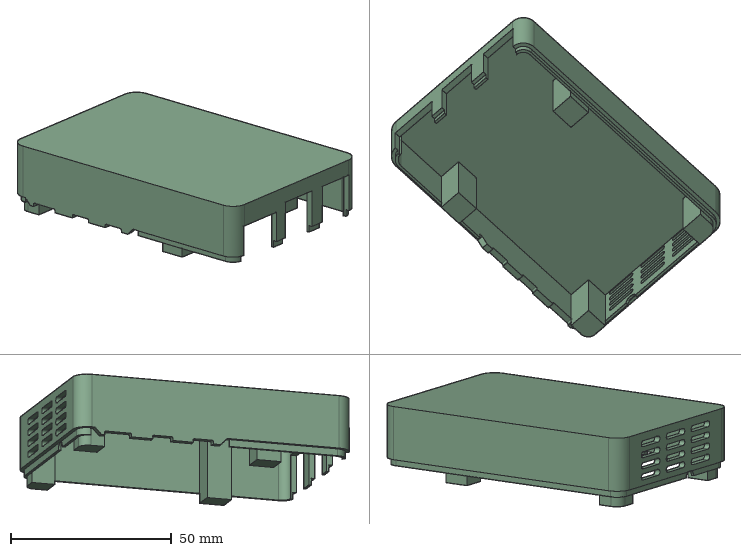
import cadquery as cq

LENGTH = 90.5
WIDTH = 60.1
HEIGHT = 22.35
WALL = 2.0
CORNER_RADIUS = 4.7
CAVITY_CORNER_RADIUS = 3.1

POST_PROTRUSION = 3.3
LIP_HEIGHT = 2.2
LIP_INSET = 1.2

POST_BOTTOM = 0.0
LIP_BOTTOM = POST_BOTTOM + POST_PROTRUSION
BODY_BOTTOM = LIP_BOTTOM + LIP_HEIGHT
CEILING = HEIGHT - WALL
LEFT = -LENGTH / 2
RIGHT = LENGTH / 2
FRONT = -WIDTH / 2
CUT_MARGIN = 0.9

POST_SIZE = 8.0
POST_SPACING_X = 58.0
POST_SPACING_Y = 49.05
FIRST_POST_X = LEFT + 5.5

SLOT_COLUMNS = 3
SLOT_ROWS = 4
SLOT_LENGTH = 10.1
SLOT_HEIGHT = 1.9
SLOT_PITCH_Y = 13.7
SLOT_PITCH_Z = 3.5
TOP_SLOT_DEPTH = 3.5

NOTCH_Y = -9.6
NOTCH_RADIUS = 2.0

SOCKET_OPENINGS = [
    (-17.7, 15.9, 7.15),
    (1.0, 12.85, 5.1),
    (19.0, 12.85, 5.1),
]

LIP_GAP_START = LEFT + CORNER_RADIUS
LIP_GAP_END = LEFT + 50.3
FLAP_TOP_START = LEFT + 5.6
FLAP_TOP_END = LEFT + 49.2
FLAP_TAPER = LIP_HEIGHT

PORT_HEIGHT = 1.2
PORT_CORNER_RADIUS = 0.45
PORT_OPENINGS = [
    (LEFT + 13.3, 8.7),
    (LEFT + 28.0, 6.5),
    (LEFT + 41.3, 6.5),
]


def rounded_block(inset, bottom, top, radius):
    """Upright block with the lid's outline, shrunk by inset on every side, and rounded corners."""
    return (
        cq.Workplane("XY", origin=(0, 0, bottom))
        .rect(LENGTH - 2 * inset, WIDTH - 2 * inset)
        .extrude(top - bottom)
        .edges("|Z")
        .fillet(radius)
    )


def cavity_block(bottom):
    """Space inside the walls, from the given height up to the ceiling."""
    return rounded_block(WALL, bottom, CEILING, CAVITY_CORNER_RADIUS)


def box_between(x_range, y_range, z_range):
    """Box spanning the given (low, high) limits along each axis."""
    (x0, x1), (y0, y1), (z0, z1) = x_range, y_range, z_range
    return cq.Workplane("XY", origin=(x0, y0, z0)).box(x1 - x0, y1 - y0, z1 - z0, centered=False)


def front_flap():
    """Trapezoid below the front wall, flush with its outer face."""
    return (
        cq.Workplane("XZ", origin=(0, FRONT, 0))
        .moveTo(FLAP_TOP_START, BODY_BOTTOM)
        .lineTo(FLAP_TOP_START + FLAP_TAPER, LIP_BOTTOM)
        .lineTo(FLAP_TOP_END - FLAP_TAPER, LIP_BOTTOM)
        .lineTo(FLAP_TOP_END, BODY_BOTTOM)
        .close()
        .extrude(-WALL)
    )


def port_cutter(middle_x, width):
    """Opening through the flap, rounded at its two upper corners."""
    return (
        box_between(
            (middle_x - width / 2, middle_x + width / 2),
            (FRONT - CUT_MARGIN, FRONT + WALL),
            (LIP_BOTTOM - CUT_MARGIN, LIP_BOTTOM + PORT_HEIGHT),
        )
        .edges("|Y and >Z")
        .fillet(PORT_CORNER_RADIUS)
    )


def socket_cutter(middle_y, width, depth_below_top):
    """Opening through the right wall and its lip, open at the bottom."""
    return box_between(
        (RIGHT - WALL, RIGHT + CUT_MARGIN),
        (middle_y - width / 2, middle_y + width / 2),
        (LIP_BOTTOM - CUT_MARGIN, HEIGHT - depth_below_top),
    )


def vent_cutter():
    """Grid of horizontal round-ended slots through the left wall."""
    grid_middle_z = HEIGHT - TOP_SLOT_DEPTH - SLOT_PITCH_Z * (SLOT_ROWS - 1) / 2
    return (
        cq.Workplane("YZ", origin=(LEFT, 0, grid_middle_z))
        .rarray(SLOT_PITCH_Y, SLOT_PITCH_Z, SLOT_COLUMNS, SLOT_ROWS)
        .slot2D(SLOT_LENGTH, SLOT_HEIGHT)
        .extrude(WALL)
    )


def notch_cutter():
    """Half-round cable notch through the left lip."""
    return (
        cq.Workplane("YZ", origin=(LEFT, NOTCH_Y, LIP_BOTTOM))
        .circle(NOTCH_RADIUS)
        .extrude(WALL)
    )


def posts():
    """Four square posts hanging from the ceiling, trimmed to the cavity outline."""
    squares = (
        cq.Workplane("XY", origin=(FIRST_POST_X + POST_SPACING_X / 2, 0, POST_BOTTOM))
        .rarray(POST_SPACING_X, POST_SPACING_Y, 2, 2)
        .rect(POST_SIZE, POST_SIZE)
        .extrude(CEILING - POST_BOTTOM)
    )
    return squares.intersect(cavity_block(POST_BOTTOM))


body = rounded_block(0, BODY_BOTTOM, HEIGHT, CORNER_RADIUS)
lip = rounded_block(LIP_INSET, LIP_BOTTOM, BODY_BOTTOM, CORNER_RADIUS - LIP_INSET)
body = body.union(lip)
body = body.cut(cavity_block(LIP_BOTTOM))

lip_gap = box_between(
    (LIP_GAP_START, LIP_GAP_END),
    (FRONT, FRONT + WALL),
    (LIP_BOTTOM, BODY_BOTTOM),
)
body = body.cut(lip_gap).union(front_flap())

for middle_x, width in PORT_OPENINGS:
    body = body.cut(port_cutter(middle_x, width))
for middle_y, width, depth_below_top in SOCKET_OPENINGS:
    body = body.cut(socket_cutter(middle_y, width, depth_below_top))
body = body.cut(vent_cutter()).cut(notch_cutter())

result = body.union(posts())